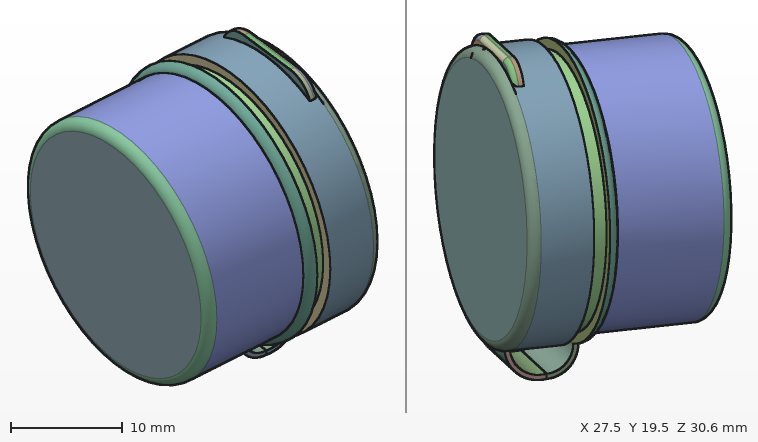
import cadquery as cq
import math


edge_round = 1.0

jar_radius = 13.0
jar_length = 11.0
neck_radius = 12.75

ring_width = 1.0
ring_thickness = 1.0
ring_radius = neck_radius + ring_width
ring_top = jar_length + ring_thickness

rim_gap = 1.5
neck_top = ring_top + rim_gap
lid_radius = ring_radius
lid_height = 6.0
lid_top = neck_top + lid_height
lid_round_start = lid_top - edge_round

tab_width = 12.5
tab_thickness = 1.0
tab_overhang = 0.5
tab_corner_radius = 3.0
tab_edge_round = 0.5
tab_root_z = 8.0
tab_top_z = lid_radius + tab_overhang

strap_width = 7.1
strap_thickness = 0.5
strap_drop = 2.62
strap_bottom_z = -lid_radius - strap_drop
strap_root_z = -neck_radius
lid_bend_radius = 3.5
ring_bend_radius = 3.0
lid_strap_face = lid_round_start
ring_strap_face = ring_top - strap_thickness
strap_seam_y = ring_strap_face + ring_bend_radius
lid_bend_z = strap_bottom_z + lid_bend_radius
lid_bend_overrun = lid_strap_face - lid_bend_radius - strap_seam_y
strap_seam_z = lid_bend_z - math.sqrt(lid_bend_radius**2 - lid_bend_overrun**2)
ring_bend_z = strap_seam_z + ring_bend_radius


def disc(radius, start, length):
    """Cylinder along +Y that starts at the given Y."""
    return cq.Workplane("XZ", origin=(0, start, 0)).circle(radius).extrude(-length)


def strap_half(face_y, bend_radius, bend_z):
    """Half of the strap: straight root with its outer face at face_y, then a bend that ends at the seam."""
    inward = math.copysign(1, strap_seam_y - face_y)
    bend_y = face_y + inward * bend_radius
    inner_radius = bend_radius - strap_thickness
    inner_face_y = face_y + inward * strap_thickness

    def bend_middle(radius):
        reach = radius * math.sqrt(0.5)
        return (bend_y - inward * reach, bend_z - reach)

    def bend_end(radius):
        return (strap_seam_y, bend_z - math.sqrt(radius**2 - (strap_seam_y - bend_y) ** 2))

    return (
        cq.Workplane("YZ")
        .moveTo(inner_face_y, strap_root_z)
        .lineTo(face_y, strap_root_z)
        .lineTo(face_y, bend_z)
        .threePointArc(bend_middle(bend_radius), bend_end(bend_radius))
        .lineTo(*bend_end(inner_radius))
        .threePointArc(bend_middle(inner_radius), (inner_face_y, bend_z))
        .close()
        .extrude(strap_width / 2, both=True)
    )


def make_jar():
    body = disc(jar_radius, 0, jar_length).faces("<Y").edges().fillet(edge_round)
    neck = disc(neck_radius, jar_length, neck_top - jar_length)
    return body.union(neck)


def make_hinge_ring():
    round_reach = ring_width * math.sqrt(0.5)
    ring = (
        cq.Workplane("XY")
        .moveTo(neck_radius, jar_length)
        .threePointArc((neck_radius + round_reach, ring_top - round_reach), (ring_radius, ring_top))
        .lineTo(neck_radius, ring_top)
        .close()
        .revolve(360, (0, 0, 0), (0, 1, 0))
    )
    return ring.union(strap_half(ring_strap_face, ring_bend_radius, ring_bend_z))


def make_tab():
    return (
        cq.Workplane("XZ", origin=(0, lid_round_start, 0))
        .center(0, (tab_top_z + tab_root_z) / 2)
        .rect(tab_width, tab_top_z - tab_root_z)
        .extrude(tab_thickness)
        .edges("|Y and >Z")
        .fillet(tab_corner_radius)
        .faces(">Y")
        .edges()
        .fillet(tab_edge_round)
    )


def make_lid():
    cap = disc(lid_radius, neck_top, lid_height).faces(">Y").edges().fillet(edge_round)
    return cap.union(make_tab()).union(strap_half(lid_strap_face, lid_bend_radius, lid_bend_z))


jar = make_jar()
hinge_ring = make_hinge_ring()
lid = make_lid()

result = cq.Compound.makeCompound([jar.val(), hinge_ring.val(), lid.val()])